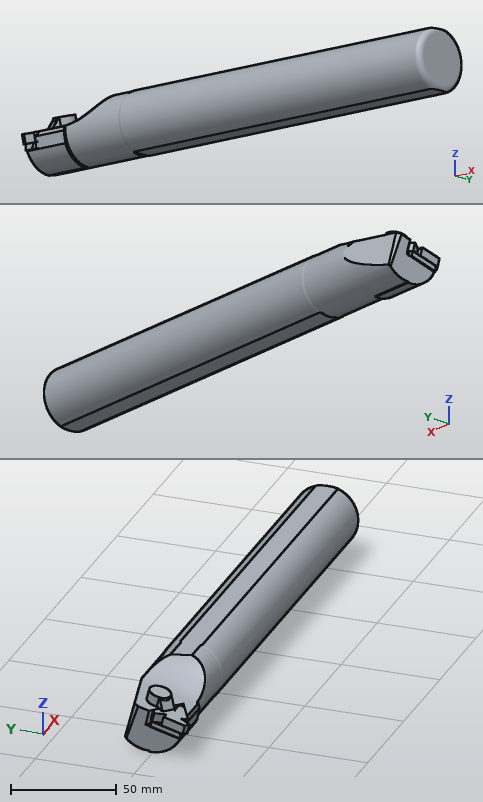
import cadquery as cq
import math

total_length = 250.0
shank_radius = 16.0
head_radius = 15.8
head_length = 60.0
flat_height = 15.0
neck_length = 1.0
shank_end_fillet = 3.0

margin = 40.0

tilt_angle = 15.0
rake_height = 5.55
runout_start = 25.4
runout_radius = 28.4
runout_sweep_radius = 47.0
bulge_length = 25.0
bulge_radius = 16.25
bulge_offset = 1.2
bulge_side = 17.0
bulge_lean_angle = 11.0
bulge_chamfer_height = 2.2
bulge_chamfer_width = 0.6
front_setback = 0.2
front_relief_angle = 2.5
taper_start = 8.75
taper_angle = 13.0
corner_chamfer_length = 1.5
corner_chamfer_width = 2.2

insert_side = 22.0
insert_thickness = 4.8
insert_center_y = -9.835
corner_cut = 3.0
notch_center = 5.2
notch_depth = 6.6
notch_flank_angle = 60.0
seat_thickness = 3.0
seat_front_setback = 0.1
seat_gap = 2.2
seat_side = 16.1

clamp_x = 12.0
clamp_y = 1.0
clamp_radius = 5.4
clamp_height = 5.2
nose_width = 7.5
nose_direction = 240.0
nose_reach = 8.5
nose_top_reach = 4.0

tilt = math.radians(tilt_angle)
insert_height = insert_side * math.cos(math.radians(30))
pocket_floor = rake_height - insert_thickness - seat_thickness


def tilted_plane(height=0.0):
    """Plane parallel to the rake face, at a height measured square to that face."""
    normal = cq.Vector(0, -math.sin(tilt), math.cos(tilt))
    return cq.Plane(origin=(normal * height).toTuple(), xDir=(1, 0, 0), normal=normal.toTuple())


def tilted_prism(points, bottom, top):
    """Prism standing square to the rake face."""
    return cq.Workplane(tilted_plane(bottom)).polyline(points).close().extrude(top - bottom)


def make_shank():
    """Round shank with a flat above and below, and a short cone where it meets the head."""
    profile = [
        (head_length - neck_length, 0),
        (head_length - neck_length, head_radius),
        (head_length, shank_radius),
        (total_length, shank_radius),
        (total_length, 0),
    ]
    shank = cq.Workplane("XY").polyline(profile).close().revolve(360, (0, 0, 0), (1, 0, 0))
    shank = shank.faces(">X").edges().fillet(shank_end_fillet)
    return shank.intersect(cq.Workplane("XY").box(total_length * 2, margin * 2, flat_height * 2))


def make_bulge():
    """Off-centre thickening of the head towards -Y, with a leaning flat and a bevel up to the rake face."""
    bulge = cq.Workplane("YZ").center(-bulge_offset, 0).circle(bulge_radius).extrude(bulge_length)
    rake_edge = (rake_height - bulge_side * math.sin(tilt)) / math.cos(tilt)
    flat_top = rake_edge - bulge_chamfer_height
    lean = math.tan(math.radians(bulge_lean_angle))
    outline = [
        (-bulge_side + lean * (flat_top + margin), -margin),
        (-bulge_side, flat_top),
        (-bulge_side + bulge_chamfer_width, rake_edge),
        (-bulge_side + bulge_chamfer_width, margin),
        (0, margin),
        (0, -margin),
    ]
    return bulge.intersect(cq.Workplane("YZ").polyline(outline).close().extrude(bulge_length))


def make_rake_cut():
    """Rake face, running out upwards through an arc swept about an axis square to the face."""
    arc_rise = rake_height + runout_radius
    sweep_axis_x = runout_start - runout_sweep_radius
    profile = (
        cq.Workplane(cq.Plane(origin=(0, 0, 0), xDir=(1, 0, 0), normal=(0, -math.cos(tilt), -math.sin(tilt))))
        .moveTo(sweep_axis_x, rake_height)
        .lineTo(runout_start, rake_height)
        .radiusArc((runout_start + runout_radius, arc_rise), -runout_radius)
        .lineTo(sweep_axis_x, arc_rise)
        .close()
    )
    return profile.revolve(360, (sweep_axis_x, 0, 0), (sweep_axis_x, 1, 0))


def make_side_taper():
    """Material removed from the +Y side, with a chamfer where it meets the front end."""
    slope = math.tan(math.radians(taper_angle))
    points = [
        (0, taper_start - corner_chamfer_width),
        (corner_chamfer_length, taper_start + corner_chamfer_length * slope),
        (margin, taper_start + margin * slope),
        (0, taper_start + margin * slope),
    ]
    return tilted_prism(points, -margin, margin)


def make_front_relief():
    """Material removed from the front end, so that it leans back below the rake face."""
    lean = math.tan(math.radians(front_relief_angle))
    outline = [
        (-margin, margin),
        (front_setback + lean * (rake_height - margin), margin),
        (front_setback + lean * (rake_height + margin), -margin),
        (-margin, -margin),
    ]
    return cq.Workplane("XZ").polyline(outline).close().extrude(margin, both=True)


def turn_about_insert(point, angle):
    """Turn a point about the insert's centre."""
    center_x = insert_height / 3
    x = point[0] - center_x
    y = point[1] - insert_center_y
    cosine = math.cos(math.radians(angle))
    sine = math.sin(math.radians(angle))
    return center_x + x * cosine - y * sine, insert_center_y + x * sine + y * cosine


def three_corners(corner_points):
    """Outline made of one corner of the insert, given from its -Y corner, repeated at all three."""
    bottom_y = insert_center_y - insert_side / 2
    return [
        turn_about_insert((x, bottom_y + y), angle)
        for angle in (0, 120, 240)
        for x, y in corner_points
    ]


sharp_corner = [(0, 0)]
cut_corner = [(0, corner_cut), (corner_cut * math.sin(math.radians(60)), corner_cut / 2)]


def tooth_corner():
    """Cut corner with a V notch beside it, which leaves a thread tooth."""
    edge_slope = math.tan(math.radians(30))
    flank_slope = math.tan(math.radians(notch_flank_angle))
    apex_rise = notch_depth + flank_slope * notch_center
    cusp_x = apex_rise / (flank_slope + edge_slope)
    return cut_corner + [(notch_center, notch_depth), (cusp_x, cusp_x * edge_slope)]


def make_seat():
    """Seat under the insert, clear of the inner pocket walls and cut off square on the -Y side."""
    seat = tilted_prism(three_corners(cut_corner), pocket_floor, pocket_floor + seat_thickness)
    seat = seat.intersect(seat.translate((-seat_gap, 0, 0)))
    limit = cq.Workplane("XY").box(margin, margin, margin, centered=(False, False, True))
    return seat.intersect(limit.translate((seat_front_setback, -seat_side, 0)))


def make_clamp():
    """Round post on the rake face with a nose that reaches square over the edge of the insert."""
    rake_plane = tilted_plane(rake_height)
    post = cq.Workplane(rake_plane).center(clamp_x, clamp_y).circle(clamp_radius).extrude(clamp_height)
    reach_x = math.cos(math.radians(nose_direction))
    reach_y = math.sin(math.radians(nose_direction))
    nose_plane = cq.Plane(
        origin=rake_plane.toWorldCoords((clamp_x, clamp_y, 0)).toTuple(),
        xDir=(rake_plane.xDir * reach_x + rake_plane.yDir * reach_y).toTuple(),
        normal=(rake_plane.xDir * reach_y - rake_plane.yDir * reach_x).toTuple(),
    )
    nose_outline = [
        (0, 0),
        (nose_reach, 0),
        (nose_top_reach, clamp_height),
        (0, clamp_height),
    ]
    nose = cq.Workplane(nose_plane).polyline(nose_outline).close().extrude(nose_width / 2, both=True)
    return post.union(nose)


def make_holder():
    """Bar with its cut head, the seat in the insert pocket and the clamp."""
    head = cq.Workplane("YZ").circle(head_radius).extrude(head_length - neck_length)
    flat_plane = cq.Workplane("XY").workplane(offset=flat_height)
    above_flat = flat_plane.rect(total_length, margin * 2).extrude(margin)
    head = head.union(make_bulge()).cut(above_flat)
    pocket = tilted_prism(three_corners(sharp_corner), pocket_floor, margin)
    for cutter in (make_rake_cut(), make_side_taper(), make_front_relief(), pocket):
        head = head.cut(cutter)
    return head.union(make_shank()).union(make_seat()).union(make_clamp())


holder = make_holder()
insert = tilted_prism(three_corners(tooth_corner()), rake_height - insert_thickness, rake_height)

result = cq.Compound.makeCompound([holder.solids().val(), insert.val()])